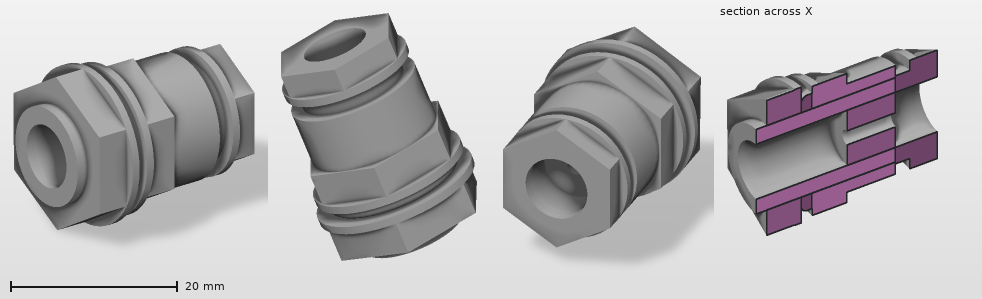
import cadquery as cq
import math

total_length = 26.0
lock_nut_front = 1.5
lock_hex_end = 5.5
lock_nut_rear = 6.5
housing_front = 8.0
housing_flange_end = 9.0
housing_hex_end = 13.0
housing_rear = 20.0
screw_neck_end = 22.0
screw_flange_end = 23.0

bore_diameter = 8.0
cable_hole_diameter = 2.0
sleeve_diameter = 12.5
lock_nut_diameter = 20.0
seal_diameter = 17.0
housing_flange_diameter = 19.0
barrel_diameter = 16.0
screw_neck_diameter = 13.0

seal_rounding = 0.8
lock_nut_turn = 0.8


def cylinder(diameter, y_start, y_end):
    """Solid cylinder about the Y axis."""
    plane = cq.Workplane("XZ", origin=(0, y_start, 0))
    return plane.circle(diameter / 2).extrude(y_start - y_end)


def hexagon(corner_diameter, y_start, y_end, turn=0.0):
    """Hexagonal prism about the Y axis with one corner up, turned toward -X."""
    radius = corner_diameter / 2
    corner_angles = [math.radians(90 + turn + 60 * i) for i in range(6)]
    corners = [(radius * math.cos(a), radius * math.sin(a)) for a in corner_angles]
    plane = cq.Workplane("XZ", origin=(0, y_start, 0))
    return plane.polyline(corners).close().extrude(y_start - y_end)


def make_sleeve():
    """Tube that runs through the lock nut, seal and housing."""
    tube = cylinder(sleeve_diameter, 0, housing_rear)
    return tube.cut(cylinder(bore_diameter, 0, housing_rear))


def make_lock_nut():
    """Hexagonal front nut with a round flange facing the seal."""
    nut = hexagon(lock_nut_diameter, lock_nut_front, lock_hex_end, lock_nut_turn)
    nut = nut.union(cylinder(lock_nut_diameter, lock_hex_end, lock_nut_rear))
    return nut.cut(cylinder(sleeve_diameter, lock_nut_front, lock_nut_rear))


def make_seal():
    """Ring between lock nut and housing, rounded at its front outer edge."""
    ring = cylinder(seal_diameter, lock_nut_rear, housing_front)
    ring = ring.faces("<Y").edges().fillet(seal_rounding)
    return ring.cut(cylinder(sleeve_diameter, lock_nut_rear, housing_front))


def make_housing():
    """Flange, hexagon and barrel in one piece."""
    body = cylinder(housing_flange_diameter, housing_front, housing_flange_end)
    body = body.union(hexagon(housing_flange_diameter, housing_flange_end, housing_hex_end))
    body = body.union(cylinder(barrel_diameter, housing_hex_end, housing_rear))
    return body.cut(cylinder(sleeve_diameter, housing_front, housing_rear))


def make_insert():
    """Plug in the rear of the sleeve with a narrow cable hole."""
    plug = cylinder(bore_diameter, housing_hex_end, housing_rear)
    return plug.cut(cylinder(cable_hole_diameter, housing_hex_end, housing_rear))


def make_pressure_screw():
    """Rear screw with a neck, a flange and a hexagonal head."""
    screw = cylinder(screw_neck_diameter, housing_rear, screw_neck_end)
    screw = screw.union(cylinder(barrel_diameter, screw_neck_end, screw_flange_end))
    screw = screw.union(hexagon(barrel_diameter, screw_flange_end, total_length))
    return screw.cut(cylinder(bore_diameter, housing_rear, total_length))


sleeve = make_sleeve()
lock_nut = make_lock_nut()
seal = make_seal()
housing = make_housing()
insert = make_insert()
pressure_screw = make_pressure_screw()

result = cq.Compound.makeCompound([
    sleeve.val(),
    lock_nut.val(),
    seal.val(),
    housing.val(),
    insert.val(),
    pressure_screw.val(),
])